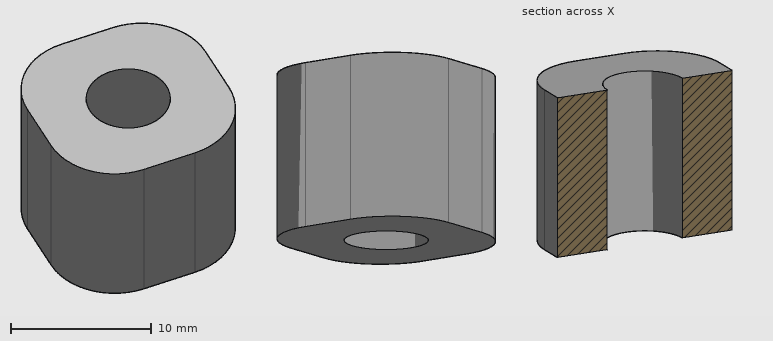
import cadquery as cq

width = 14.0
height = 12.0
bore_diameter = 6.0
corner_radius = 5.0

block = (
    cq.Workplane("XY")
    .rect(width, width)
    .extrude(height)
    .edges("|Z")
    .fillet(corner_radius)
)

result = block.faces(">Z").workplane().hole(bore_diameter)